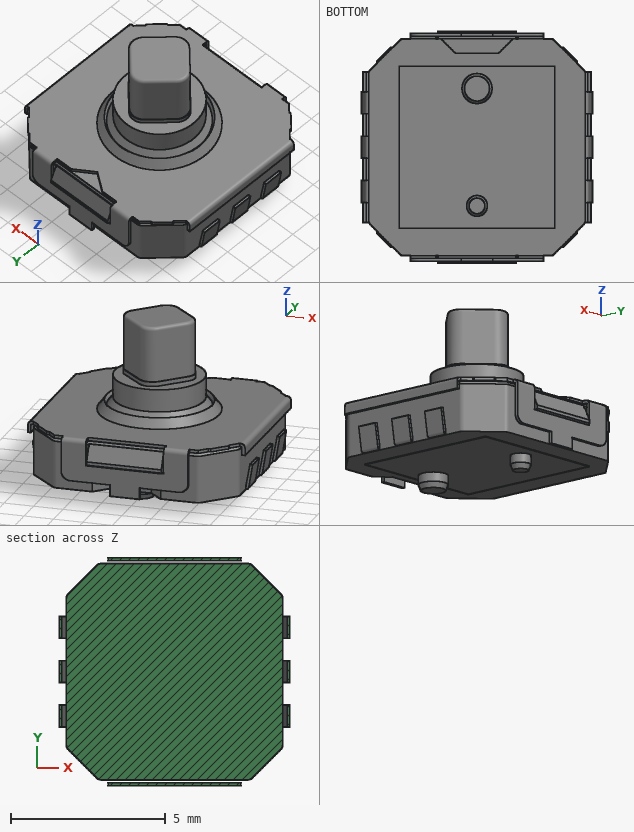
import cadquery as cq

body_half = 3.5
body_height = 1.7
body_chamfer = 1.05
body_corner_radius = 0.21
body_top_bevel_drop = 0.075
body_top_bevel_inset = 0.105
foot_size_x = 5.025
foot_size_y = 5.25
foot_height = 0.02
recess_half_width = 1.16
recess_depth = 0.465

sheet = 0.105
cover_top = body_height + sheet
cover_half = 3.69
bend_radius = 0.15
plate_half = cover_half - bend_radius
plate_end_half = body_half
plate_chamfer = 1.095
corner_tab_near = 2.78
corner_tab_far = 3.24
side_flange_half_width = 2.44
side_flange_bottom = 1.41
end_flange_half_width = 2.15
end_flange_bottom = 0.37
end_flange_corner_radius = 0.3
foot_tab_half_width = 0.5
window_half_width = 1.32
window_bottom = 0.945
window_inner_edge = 3.4
mark_half_width = 0.705
mark_tip = 2.9

latch_half_width = 1.27
latch_tip = 3.75
latch_root_top = body_height - body_top_bevel_drop
latch_tip_top = 1.095
latch_tip_bottom = 0.98
latch_root_bottom = 0.855

terminal_width = 0.71
terminal_pitch = 1.43
terminal_span = 7.48
terminal_tip = terminal_span / 2
terminal_top = 0.885
terminal_sheet = 0.09
terminal_embed = 0.075
terminal_lean = 0.14
terminal_tip_drop = 0.015
terminal_bottom = 0.015
terminal_heel_radius = 0.1

peg_offset = 1.9
pegs = [(-peg_offset, 0.49), (peg_offset, 0.34)]
peg_bottom = -0.52
peg_taper_height = 0.19
peg_taper_inset = 0.08

collar_root_radius = 2.025
collar_flare_radius = 1.995
collar_flare_height = 0.02
collar_rim_radius = 1.785
collar_top = 2.115

groove_radius = 1.71
groove_bottom = 1.965
plunger_radius = 1.51
plunger_cone_top = 2.22
plunger_top = 2.98
stem_top = 4.98
stem_side = 1.965
stem_corner_radius = 0.465
stem_top_radius = 0.11
stem_collar_top = 3.13
stem_collar_growth = 0.019


def box_between(x0, x1, y0, y1, z0, z1):
    return cq.Workplane("XY").box(x1 - x0, y1 - y0, z1 - z0, centered=False).translate((x0, y0, z0))


def on_both_sides(shape):
    """The shape together with its copy turned half a turn about Z."""
    return shape.union(shape.rotate((0, 0, 0), (0, 0, 1), 180))


def extrude_along_x(profile, half_width):
    """Extrude a closed YZ-plane profile symmetrically along X."""
    return profile.extrude(half_width, both=True)


def make_body():
    body = cq.Workplane("XY").rect(2 * body_half, 2 * body_half).extrude(body_height)
    body = body.edges("|Z").chamfer(body_chamfer)
    body = body.edges("|Z").fillet(body_corner_radius)
    body = body.faces(">Z").edges().chamfer(body_top_bevel_inset, body_top_bevel_drop)
    foot = cq.Workplane("XY").rect(foot_size_x, foot_size_y).extrude(-foot_height)
    recess_inner_half = recess_half_width - recess_depth
    recess = (
        cq.Workplane("XY")
        .workplane(offset=-foot_height)
        .moveTo(-recess_half_width, -body_half)
        .lineTo(recess_half_width, -body_half)
        .lineTo(recess_inner_half, recess_depth - body_half)
        .lineTo(-recess_inner_half, recess_depth - body_half)
        .close()
        .extrude(end_flange_bottom + foot_height)
    )
    return body.union(foot).cut(recess)


def make_latches():
    root = body_half - body_top_bevel_inset
    profile = cq.Workplane("YZ").polyline([
        (-root, latch_root_top),
        (-body_half, latch_root_top),
        (-latch_tip, latch_tip_top),
        (-latch_tip, latch_tip_bottom),
        (sheet - cover_half, latch_root_bottom),
        (-root, latch_root_bottom),
    ]).close()
    return on_both_sides(extrude_along_x(profile, latch_half_width))


def bent_flange(half_width, bottom):
    """Flange on the -Y edge of the cover: a quarter bend, then straight down."""
    bend_z = cover_top - bend_radius
    profile = (
        cq.Workplane("YZ")
        .moveTo(-plate_end_half, cover_top)
        .lineTo(-plate_half, cover_top)
        .radiusArc((-cover_half, bend_z), -bend_radius)
        .lineTo(-cover_half, bottom)
        .lineTo(sheet - cover_half, bottom)
        .lineTo(sheet - cover_half, bend_z)
        .radiusArc((-plate_half, body_height), bend_radius - sheet)
        .lineTo(-plate_end_half, body_height)
        .close()
    )
    return extrude_along_x(profile, half_width)


def make_side_flanges():
    flange = bent_flange(side_flange_half_width, side_flange_bottom)
    return on_both_sides(flange.rotate((0, 0, 0), (0, 0, 1), 90))


def make_end_flanges():
    flange = bent_flange(end_flange_half_width, end_flange_bottom)
    flange = flange.edges("|Y and <Z").fillet(end_flange_corner_radius)
    foot_tab = box_between(
        -foot_tab_half_width, foot_tab_half_width,
        -cover_half, sheet - cover_half,
        -foot_height, window_bottom,
    )
    return on_both_sides(flange.union(foot_tab))


def make_plate():
    plate = cq.Workplane("XY").rect(2 * plate_half, 2 * plate_end_half).extrude(sheet)
    plate = plate.edges("|Z").chamfer(plate_chamfer)
    corner_tab = (
        cq.Workplane("XY")
        .polyline([
            (0, 0),
            (corner_tab_far, 0),
            (corner_tab_far, corner_tab_near),
            (corner_tab_near, corner_tab_far),
            (0, corner_tab_far),
        ])
        .close()
        .extrude(sheet)
    )
    for turn in range(4):
        plate = plate.union(corner_tab.rotate((0, 0, 0), (0, 0, 1), 90 * turn))
    return plate.translate((0, 0, body_height))


def make_cover():
    cover = make_plate().union(make_side_flanges()).union(make_end_flanges())
    window = box_between(
        -window_half_width, window_half_width,
        -latch_tip, -window_inner_edge,
        window_bottom, cover_top,
    )
    mark = (
        cq.Workplane("XY")
        .workplane(offset=body_height)
        .polyline([
            (-mark_half_width, window_inner_edge),
            (0, mark_tip),
            (mark_half_width, window_inner_edge),
        ])
        .close()
        .extrude(sheet)
    )
    return cover.cut(on_both_sides(window)).cut(mark)


def make_terminals():
    root = body_half - terminal_embed
    heel = terminal_tip - terminal_lean
    profile = (
        cq.Workplane("XZ")
        .polyline([
            (-root, terminal_bottom),
            (-heel, terminal_bottom),
            (-terminal_tip, terminal_top - terminal_tip_drop),
            (terminal_sheet - terminal_tip, terminal_top),
            (terminal_sheet - heel, terminal_bottom + terminal_sheet),
            (-root, terminal_bottom + terminal_sheet),
        ])
        .close()
    )
    terminal = profile.extrude(terminal_width / 2, both=True)
    heel_edge = cq.selectors.NearestToPointSelector((-heel, 0, terminal_bottom))
    terminal = terminal.edges(heel_edge).fillet(terminal_heel_radius)
    row = terminal
    for y in (-terminal_pitch, terminal_pitch):
        row = row.union(terminal.translate((0, y, 0)))
    return on_both_sides(row)


def make_peg(y, radius):
    peg = cq.Workplane("XY").center(0, y).circle(radius).extrude(peg_bottom)
    return peg.faces("<Z").chamfer(peg_taper_height, peg_taper_inset)


def make_collar_and_plunger():
    """Cover collar, narrow groove, plunger cone and plunger in one turned profile."""
    profile = (
        cq.Workplane("XZ")
        .moveTo(0, body_height)
        .lineTo(collar_root_radius, body_height)
        .lineTo(collar_root_radius, cover_top)
        .lineTo(collar_flare_radius, cover_top + collar_flare_height)
        .lineTo(collar_rim_radius, collar_top)
        .lineTo(groove_radius, groove_bottom)
        .lineTo(plunger_radius, plunger_cone_top)
        .lineTo(plunger_radius, plunger_top)
        .lineTo(0, plunger_top)
        .close()
    )
    return profile.revolve(360, (0, 0, 0), (0, 1, 0))


def rounded_post(side, corner_radius, top):
    """Square post with rounded corners, its corners pointing along X and Y."""
    height = top - plunger_top
    post = cq.Workplane("XY").rect(side, side).extrude(height).edges("|Z").fillet(corner_radius)
    return post.rotate((0, 0, 0), (0, 0, 1), 45).translate((0, 0, plunger_top))


def make_stem():
    stem = rounded_post(stem_side, stem_corner_radius, stem_top)
    stem = stem.faces(">Z").edges().fillet(stem_top_radius)
    stem_collar = rounded_post(
        stem_side + 2 * stem_collar_growth,
        stem_corner_radius + stem_collar_growth,
        stem_collar_top,
    )
    return stem.union(stem_collar)


result = make_body().union(make_latches()).union(make_cover()).union(make_terminals())
for peg_y, peg_radius in pegs:
    result = result.union(make_peg(peg_y, peg_radius))
result = result.union(make_collar_and_plunger()).union(make_stem())